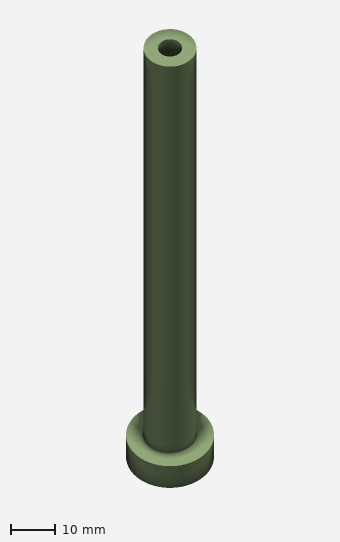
import cadquery as cq

TOTAL_LENGTH = 132.0
HEAD_DIAMETER = 20.0
HEAD_HEIGHT = 7.0
SHAFT_DIAMETER = 12.0
BORE_DIAMETER = 5.5
NECK_FILLET = 0.5

HEAD_RADIUS = HEAD_DIAMETER / 2
SHAFT_RADIUS = SHAFT_DIAMETER / 2
BORE_RADIUS = BORE_DIAMETER / 2


def make_sleeve():
    """Headed sleeve revolved about Z, with its head resting on Z = 0."""
    neck_radius = SHAFT_RADIUS + NECK_FILLET
    neck_top = HEAD_HEIGHT + NECK_FILLET
    half_section = (
        cq.Workplane("XZ")
        .moveTo(BORE_RADIUS, 0)
        .lineTo(HEAD_RADIUS, 0)
        .lineTo(HEAD_RADIUS, HEAD_HEIGHT)
        .lineTo(neck_radius, HEAD_HEIGHT)
        .radiusArc((SHAFT_RADIUS, neck_top), NECK_FILLET)
        .lineTo(SHAFT_RADIUS, TOTAL_LENGTH)
        .lineTo(BORE_RADIUS, TOTAL_LENGTH)
        .close()
    )
    return half_section.revolve(360, (0, 0), (0, 1))


result = make_sleeve()